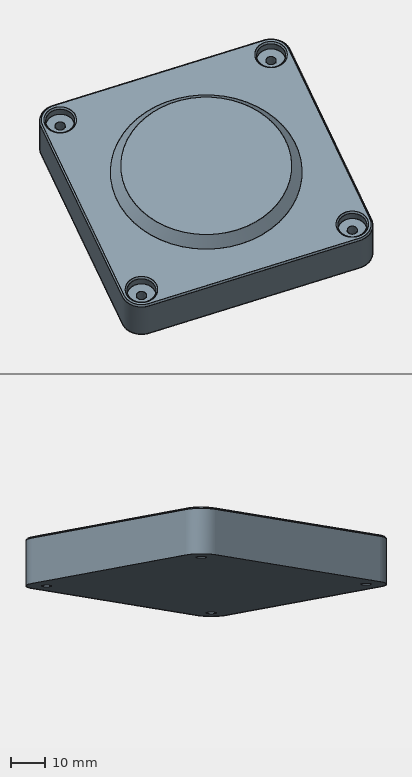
import cadquery as cq

housing_side = 78.0
housing_height = 14.0
corner_radius = 6.0
edge_chamfer = 0.5

screw_hole_diameter = 3.0
counterbore_diameter = 8.5
counterbore_depth = 3.0
screw_spacing = housing_side - 2 * corner_radius

total_height = 17.0
cover_height = total_height - housing_height
cover_base_diameter = 56.0
cover_rim_taper = 45


def make_housing():
    """Rounded square block with a chamfered top and four counterbored screw holes."""
    block = cq.Workplane("XY").rect(housing_side, housing_side).extrude(housing_height)
    rounded = block.edges("|Z").fillet(corner_radius)
    drilled = (
        rounded.faces(">Z")
        .workplane(origin=(0, 0, housing_height))
        .rect(screw_spacing, screw_spacing, forConstruction=True)
        .vertices()
        .cboreHole(screw_hole_diameter, counterbore_diameter, counterbore_depth)
    )
    return drilled.faces(">Z").edges().chamfer(edge_chamfer)


def make_cover():
    """Truncated cone resting on top of the housing."""
    return (
        cq.Workplane("XY", origin=(0, 0, housing_height))
        .circle(cover_base_diameter / 2)
        .extrude(cover_height, taper=cover_rim_taper)
    )


housing = make_housing()
cover = make_cover()

result = cq.Compound.makeCompound([housing.val(), cover.val()])